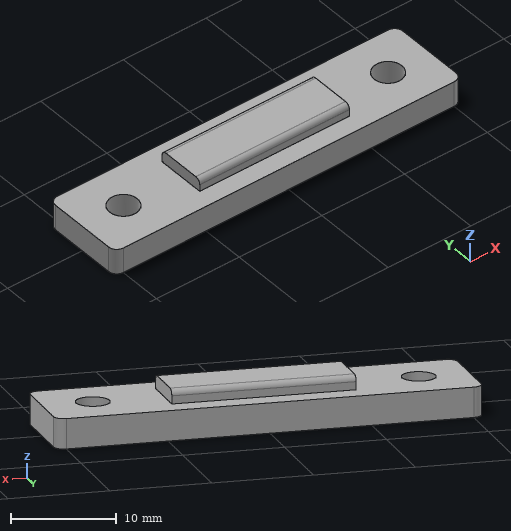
import cadquery as cq

plate_length = 42.0
plate_width = 10.0
plate_thickness = 3.0
corner_radius = 1.0

hole_diameter = 3.3
hole_spacing = 32.0

pad_length = 18.1
pad_width = 5.7
pad_height = 1.4
pad_edge_radius = 0.6


def make_plate():
    """Plate with rounded vertical corners, resting on Z = 0."""
    plate = cq.Workplane("XY").box(
        plate_length, plate_width, plate_thickness, centered=(True, True, False)
    )
    return plate.edges("|Z").fillet(corner_radius)


def make_pad():
    """Pad on the plate's top face, with its two long top edges rounded."""
    pad = (
        cq.Workplane("XY")
        .workplane(offset=plate_thickness)
        .box(pad_length, pad_width, pad_height, centered=(True, True, False))
    )
    return pad.edges("|X and >Z").fillet(pad_edge_radius)


def drill_mounting_holes(body):
    """Drill one through hole near each end of the plate."""
    hole_positions = [(-hole_spacing / 2, 0), (hole_spacing / 2, 0)]
    return body.faces("<Z").workplane(origin=(0, 0, 0)).pushPoints(hole_positions).hole(hole_diameter)


result = drill_mounting_holes(make_plate().union(make_pad()))